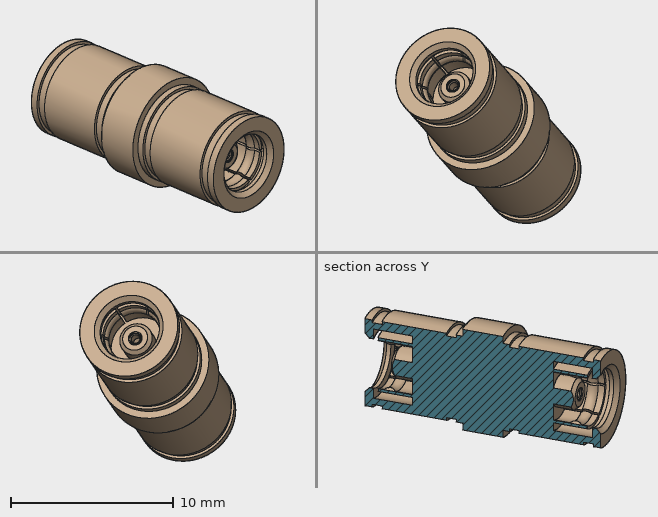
import cadquery as cq

length = 15.81
half_length = length / 2
collar_diameter = 7.11
collar_width = 2.72
barrel_diameter = 6.21

groove_diameter = 5.87
groove_clearance = 0.16
end_groove_start = 0.5
end_groove_width = 0.65
inner_groove_start = 5.49
inner_groove_width = 0.63

mouth_diameter = 4.36
lip_diameter = 3.76
lead_in_depth = (mouth_diameter - lip_diameter) / 2
lip_depth = 0.58
cavity_diameter = 5.0
socket_depth = 3.16

finger_start = 0.89
finger_outer_diameter = 4.08
finger_bore_diameter = 3.67
bump_bore_diameter = 3.3
bump_start = 1.31
bump_length = 0.73
slot_count = 6
slot_width = 0.15

post_diameter = 2.05
post_face_diameter = 1.58
post_chamfer = (post_diameter - post_face_diameter) / 2
post_start = 1.75
pin_counterbore_diameter = 0.85
pin_counterbore_depth = 0.08
pin_countersink_diameter = 0.7
pin_hole_diameter = 0.55
pin_countersink_depth = (pin_countersink_diameter - pin_hole_diameter) / 2
pin_hole_depth = 0.79
pin_tip_length = pin_hole_diameter / 2


def cylinder(start, end, diameter):
    """Solid cylinder on the X axis between two X positions."""
    return cq.Workplane("YZ").workplane(offset=start).circle(diameter / 2).extrude(end - start)


def revolve_about_x(outline):
    return outline.close().revolve(360, (0, 0, 0), (1, 0, 0))


def body():
    barrel = cylinder(-half_length, half_length, barrel_diameter)
    collar = cylinder(-collar_width / 2, collar_width / 2, collar_diameter)
    return barrel.union(collar)




def groove(start, width):
    blank = cylinder(start, start + width, barrel_diameter + groove_clearance)
    return blank.cut(cylinder(start, start + width, groove_diameter))


def socket_cavity():
    mouth = revolve_about_x(
        cq.Workplane("XY")
        .lineTo(0, mouth_diameter / 2)
        .lineTo(lead_in_depth, lip_diameter / 2)
        .lineTo(lip_depth, lip_diameter / 2)
        .lineTo(lip_depth, 0)
    )
    return mouth.union(cylinder(lip_depth, socket_depth, cavity_diameter))


def fingers():
    bore_radius = finger_bore_diameter / 2
    outer_radius = finger_outer_diameter / 2
    bump_end = bump_start + bump_length
    bump_middle = bump_start + bump_length / 2
    sleeve = revolve_about_x(
        cq.Workplane("XY")
        .moveTo(finger_start, outer_radius)
        .lineTo(finger_start, bore_radius)
        .lineTo(bump_start, bore_radius)
        .threePointArc((bump_middle, bump_bore_diameter / 2), (bump_end, bore_radius))
        .lineTo(socket_depth, bore_radius)
        .lineTo(socket_depth, outer_radius)
    )
    slot = cq.Workplane("XY").box(
        socket_depth, finger_outer_diameter, slot_width, centered=(False, False, True)
    )
    for index in range(slot_count):
        sleeve = sleeve.cut(slot.rotate((0, 0, 0), (1, 0, 0), index * 360 / slot_count))
    return sleeve


def post():
    return cylinder(post_start, socket_depth, post_diameter).faces("<X").chamfer(post_chamfer)


def pin_hole():
    counterbore_end = post_start + pin_counterbore_depth
    hole_end = post_start + pin_hole_depth
    return revolve_about_x(
        cq.Workplane("XY")
        .moveTo(post_start, 0)
        .lineTo(post_start, pin_counterbore_diameter / 2)
        .lineTo(counterbore_end, pin_counterbore_diameter / 2)
        .lineTo(counterbore_end, pin_countersink_diameter / 2)
        .lineTo(counterbore_end + pin_countersink_depth, pin_hole_diameter / 2)
        .lineTo(hole_end, pin_hole_diameter / 2)
        .lineTo(hole_end + pin_tip_length, 0)
    )


def end_cutter():
    """Everything removed from one end of the body."""
    cutter = socket_cavity().cut(fingers()).cut(post()).union(pin_hole())
    cutter = cutter.union(groove(end_groove_start, end_groove_width))
    cutter = cutter.union(groove(inner_groove_start, inner_groove_width))
    return cutter.translate((-half_length, 0, 0))


left_end = end_cutter()
result = body().cut(left_end).cut(left_end.mirror("YZ"))